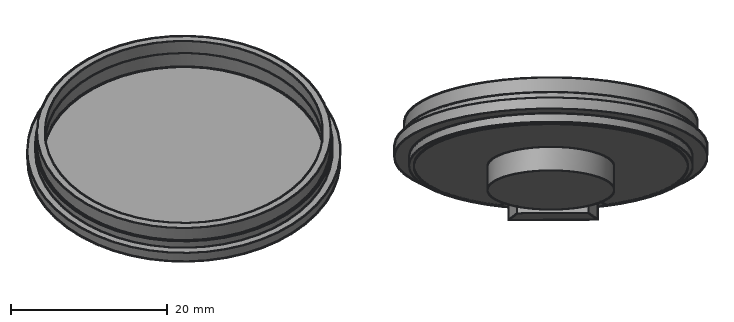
import cadquery as cq
import math

plate_bottom = 3.15
skirt_bottom = 3.3
flange_bottom = 4.45
flange_top = 5.9
band_top = 7.0
total_height = 9.05

boss_diameter = 16.2
plate_diameter = 35.05
skirt_diameter = 36.25
flange_diameter = 40.0
band_diameter = 38.0
rim_diameter = 37.5
mouth_diameter = 35.5
recess_diameter = 36.0

recess_floor = flange_bottom

pad_bottom = 1.25
pad_outer_distance = 16.2
pad_inner_distance = 13.35
pad_side_gap = 0.9
half_sector = 180 / 8
pad_direction = 270 - half_sector


def disc(diameter, bottom, top):
    """Solid cylinder on the Z axis between two heights."""
    return cq.Workplane("XY").workplane(offset=bottom).circle(diameter / 2).extrude(top - bottom)


def pad_half_width(distance):
    """Half the pad width at a distance from the axis; the sides run parallel to the sector edges."""
    angle = math.radians(half_sector)
    return distance * math.tan(angle) - pad_side_gap / math.cos(angle)


def pad():
    """Trapezoid drawn along +X, then turned to its place; its top meets the skirt."""
    inner = pad_half_width(pad_inner_distance)
    outer = pad_half_width(pad_outer_distance)
    corners = [
        (pad_inner_distance, -inner),
        (pad_outer_distance, -outer),
        (pad_outer_distance, outer),
        (pad_inner_distance, inner),
    ]
    block = cq.Workplane("XY").workplane(offset=pad_bottom).polyline(corners).close()
    block = block.extrude(skirt_bottom - pad_bottom)
    return block.rotate((0, 0, 0), (0, 0, 1), pad_direction)


def plate():
    """Thin plate with the sector around the pad left out."""
    reach = plate_diameter
    spread = reach * math.tan(math.radians(half_sector))
    sector = cq.Workplane("XY").workplane(offset=plate_bottom)
    sector = sector.polyline([(0, 0), (reach, -spread), (reach, spread)]).close()
    sector = sector.extrude(skirt_bottom - plate_bottom)
    sector = sector.rotate((0, 0, 0), (0, 0, 1), pad_direction)
    return disc(plate_diameter, plate_bottom, skirt_bottom).cut(sector)


body = disc(boss_diameter, 0, skirt_bottom)
body = body.union(plate())
body = body.union(disc(skirt_diameter, skirt_bottom, flange_bottom))
body = body.union(disc(flange_diameter, flange_bottom, flange_top))
body = body.union(disc(band_diameter, flange_top, band_top))
body = body.union(disc(rim_diameter, band_top, total_height))
body = body.union(pad())

body = body.cut(disc(recess_diameter, recess_floor, band_top))
result = body.cut(disc(mouth_diameter, band_top, total_height))